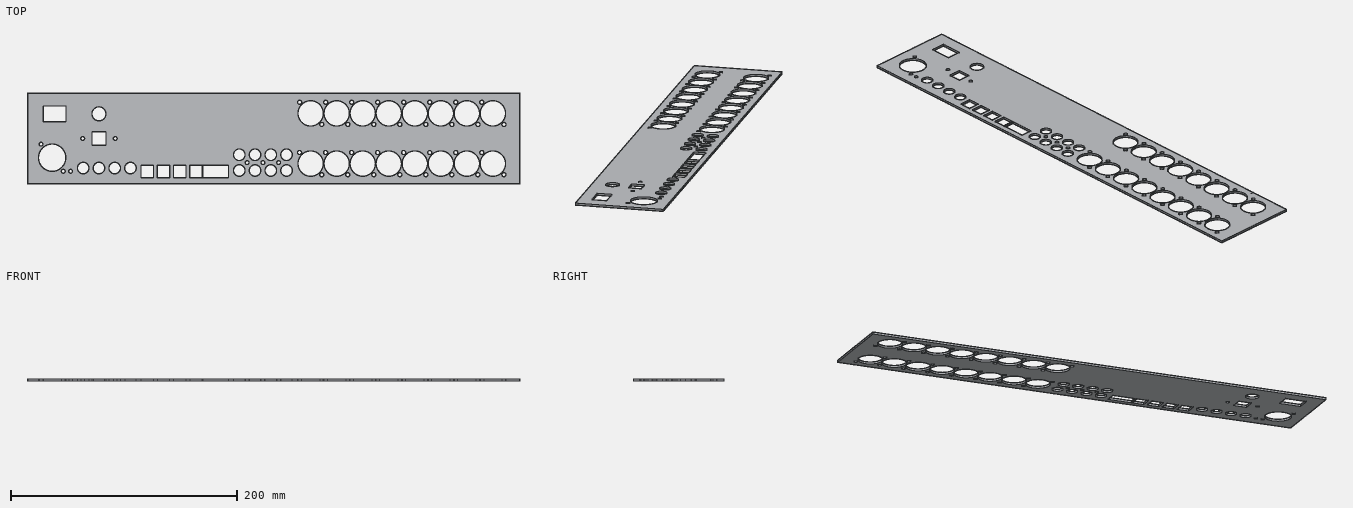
import cadquery as cq

LENGTH = 435.0
WIDTH = 80.0
THICKNESS = 2.0

SCREW_DIAMETER = 3.2

CONNECTOR_DIAMETER = 22.0
CONNECTOR_COUNT = 8
CONNECTOR_SPAN = 161.0
CONNECTOR_PITCH = CONNECTOR_SPAN / (CONNECTOR_COUNT - 1)
FIRST_CONNECTOR_X = 250.0
CONNECTOR_ROWS_Y = (18.0, 62.0)
CONNECTOR_SCREW_SPACING = 19.5
CONNECTOR_SCREW_DIAMETER = 3.5

INLET_DIAMETER = 24.0
INLET_X = 21.8
INLET_Y = 23.0
INLET_SCREW_SPACING_X = 19.5
INLET_SCREW_SPACING_Y = 24.0
GROUND_SCREW_OFFSET = 6.5

SWITCH_LENGTH = 20.0
SWITCH_HEIGHT = 13.5
SWITCH_X = 24.0
SWITCH_Y = 61.8

SOCKET_X = 63.0
ROUND_SOCKET_DIAMETER = 12.0
ROUND_SOCKET_Y = 61.8
SQUARE_SOCKET_LENGTH = 12.0
SQUARE_SOCKET_HEIGHT = 11.7
SQUARE_SOCKET_Y = WIDTH / 2
SOCKET_SCREW_SPACING = 28.5

JACK_DIAMETER = 10.0
JACK_COUNT = 4
JACK_PITCH = 14.0
JACK_ROW_X = 49.0
JACK_ROW_Y = 14.0
JACK_BLOCK_X = 187.0
JACK_BLOCK_ROWS_Y = (11.7, 25.5)

PORT_LENGTH = 11.0
PORT_HEIGHT = 11.0
PORT_COUNT = 4
PORT_PITCH = 14.5
FIRST_PORT_X = 105.5
PORT_Y = 11.0
LONG_PORT_LENGTH = 22.5
LONG_PORT_X = 166.0


def row(first_x, y, pitch, count):
    """Centres of evenly spaced openings along X."""
    return [(first_x + i * pitch, y) for i in range(count)]


def diagonal_pair(x, y, spacing_x, spacing_y):
    """Upper left and lower right screw centres around (x, y)."""
    return [
        (x - spacing_x / 2, y + spacing_y / 2),
        (x + spacing_x / 2, y - spacing_y / 2),
    ]


def cut_round(panel, centres, diameter):
    cutter = cq.Workplane("XY").pushPoints(centres).circle(diameter / 2).extrude(THICKNESS)
    return panel.cut(cutter)


def cut_rectangles(panel, centres, length, height):
    cutter = cq.Workplane("XY").pushPoints(centres).rect(length, height).extrude(THICKNESS)
    return panel.cut(cutter)


def cut_connectors(panel):
    for row_y in CONNECTOR_ROWS_Y:
        centres = row(FIRST_CONNECTOR_X, row_y, CONNECTOR_PITCH, CONNECTOR_COUNT)
        panel = cut_round(panel, centres, CONNECTOR_DIAMETER)
        for x, y in centres:
            screws = diagonal_pair(x, y, CONNECTOR_SCREW_SPACING, CONNECTOR_SCREW_SPACING)
            panel = cut_round(panel, screws, CONNECTOR_SCREW_DIAMETER)
    return panel


def cut_power_inlet(panel):
    screws = diagonal_pair(INLET_X, INLET_Y, INLET_SCREW_SPACING_X, INLET_SCREW_SPACING_Y)
    lower_screw_x, lower_screw_y = screws[-1]
    ground_screw = (lower_screw_x + GROUND_SCREW_OFFSET, lower_screw_y)
    panel = cut_round(panel, [(INLET_X, INLET_Y)], INLET_DIAMETER)
    panel = cut_round(panel, screws, SCREW_DIAMETER)
    panel = cut_round(panel, [ground_screw], SCREW_DIAMETER)
    return cut_rectangles(panel, [(SWITCH_X, SWITCH_Y)], SWITCH_LENGTH, SWITCH_HEIGHT)


def cut_sockets(panel):
    square_centre = (SOCKET_X, SQUARE_SOCKET_Y)
    first_screw_x = SOCKET_X - SOCKET_SCREW_SPACING / 2
    screws = row(first_screw_x, SQUARE_SOCKET_Y, SOCKET_SCREW_SPACING, 2)
    panel = cut_round(panel, [(SOCKET_X, ROUND_SOCKET_Y)], ROUND_SOCKET_DIAMETER)
    panel = cut_rectangles(panel, [square_centre], SQUARE_SOCKET_LENGTH, SQUARE_SOCKET_HEIGHT)
    return cut_round(panel, screws, SCREW_DIAMETER)


def cut_jacks(panel):
    jacks = row(JACK_ROW_X, JACK_ROW_Y, JACK_PITCH, JACK_COUNT)
    for row_y in JACK_BLOCK_ROWS_Y:
        jacks += row(JACK_BLOCK_X, row_y, JACK_PITCH, JACK_COUNT)
    screw_y = sum(JACK_BLOCK_ROWS_Y) / len(JACK_BLOCK_ROWS_Y)
    screws = row(JACK_BLOCK_X + JACK_PITCH / 2, screw_y, JACK_PITCH, JACK_COUNT - 1)
    panel = cut_round(panel, jacks, JACK_DIAMETER)
    return cut_round(panel, screws, SCREW_DIAMETER)


def cut_ports(panel):
    ports = row(FIRST_PORT_X, PORT_Y, PORT_PITCH, PORT_COUNT)
    panel = cut_rectangles(panel, ports, PORT_LENGTH, PORT_HEIGHT)
    return cut_rectangles(panel, [(LONG_PORT_X, PORT_Y)], LONG_PORT_LENGTH, PORT_HEIGHT)


result = cq.Workplane("XY").box(LENGTH, WIDTH, THICKNESS, centered=False)
result = cut_connectors(result)
result = cut_power_inlet(result)
result = cut_sockets(result)
result = cut_jacks(result)
result = cut_ports(result)